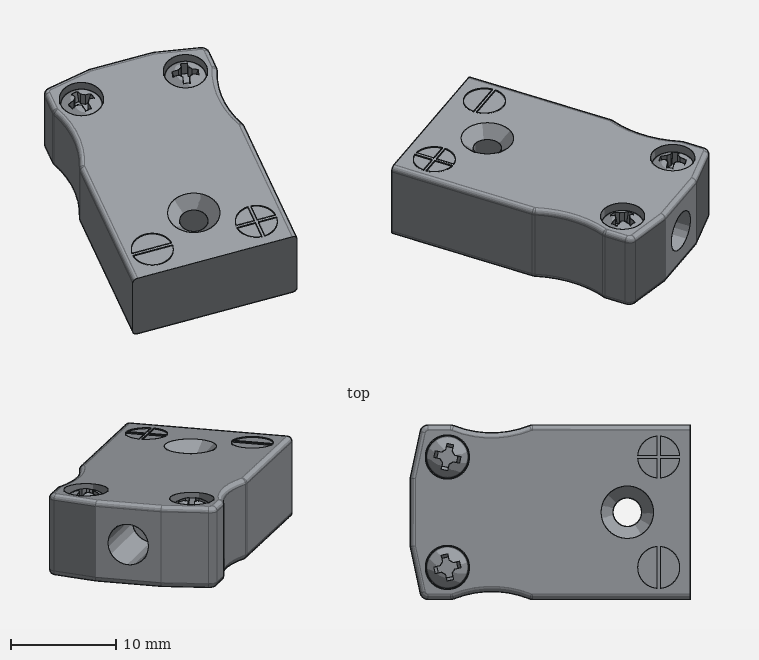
import cadquery as cq
import math

length = 26.65
width = 16.6
height = 8.02
nose_half_width = 3.25
nose_angle = 12.0
corner_radius = 0.8
edge_round = 0.5

grip_x = 7.75
grip_radius = 9.73
grip_depth = 0.75
grip_blend_radius = 0.8

bore_diameter = 4.0
bore_depth = 8.0

mount_x = 20.65
mount_diameter = 2.7
countersink_diameter = 4.98
countersink_angle = 90.0

pair_y = 5.25
screw_x = 3.55
mark_x = 23.65

screw_seat_diameter = 4.2
screw_seat_depth = 2.13
head_diameter = 4.0
head_rim_height = 1.3
dome_height = 0.83
head_edge_round = 0.2

recess_depth = 1.47
recess_top_reach = 1.33
recess_floor_reach = 0.95
recess_arm_width = 0.65
recess_core_width = 1.35
recess_turn = 13.0

mark_diameter = 4.0
mark_depth = 0.1
mark_bar_width = 0.3

half_width = width / 2


def make_blank():
    """Solid outline with finger grips, rounded corners and rounded rims."""
    nose_setback = (half_width - nose_half_width) * math.tan(math.radians(nose_angle))
    blank = (
        cq.Workplane("XY")
        .polyline([
            (0, -nose_half_width),
            (nose_setback, -half_width),
            (length, -half_width),
            (length, half_width),
            (nose_setback, half_width),
            (0, nose_half_width),
        ])
        .close()
        .extrude(height)
    )

    grip_offset = half_width - grip_depth + grip_radius
    grips = (
        cq.Workplane("XY")
        .pushPoints([(grip_x, -grip_offset), (grip_x, grip_offset)])
        .circle(grip_radius)
        .extrude(height)
    )
    blank = blank.cut(grips)

    grip_half_length = math.sqrt(2 * grip_radius * grip_depth - grip_depth**2)
    blank = blank.edges(edges_at(nose_setback)).fillet(corner_radius)
    for end_x in (grip_x - grip_half_length, grip_x + grip_half_length):
        blank = blank.edges(edges_at(end_x)).fillet(grip_blend_radius)

    rims = blank.faces("<Z or >Z").edges("not >X")
    return rims.fillet(edge_round)


def edges_at(x):
    """Selector for the upright edges of both long sides at one X position."""
    margin = 0.03
    return cq.selectors.BoxSelector(
        (x - margin, -half_width - margin, 0),
        (x + margin, half_width + margin, height),
    )


def make_mark_pocket(y, bar_angles):
    """Round pocket with one flush bar across it for each angle."""
    pocket = cq.Workplane("XY").circle(mark_diameter / 2).extrude(-mark_depth)
    for angle in bar_angles:
        bar = (
            cq.Workplane("XY")
            .rect(mark_diameter, mark_bar_width)
            .extrude(-mark_depth)
            .rotate((0, 0, 0), (0, 0, 1), angle)
        )
        pocket = pocket.cut(bar)
    return pocket.translate((mark_x, y, height))


def make_housing():
    housing = make_blank()

    bore = (
        cq.Workplane("YZ")
        .center(0, height / 2)
        .circle(bore_diameter / 2)
        .extrude(bore_depth)
    )
    housing = housing.cut(bore)

    top = cq.Workplane("XY", origin=(0, 0, height))
    mount_hole = (
        top.center(mount_x, 0)
        .circle(mount_diameter / 2)
        .extrude(-height)
    )
    countersink_depth = (
        (countersink_diameter - mount_diameter) / 2
        / math.tan(math.radians(countersink_angle / 2))
    )
    countersink = cq.Workplane(cq.Solid.makeCone(
        mount_diameter / 2,
        countersink_diameter / 2,
        countersink_depth,
        pnt=cq.Vector(mount_x, 0, height - countersink_depth),
    ))
    housing = housing.cut(mount_hole).cut(countersink)

    screw_seats = (
        top.pushPoints([(screw_x, -pair_y), (screw_x, pair_y)])
        .circle(screw_seat_diameter / 2)
        .extrude(-screw_seat_depth)
    )
    housing = housing.cut(screw_seats)

    plus_mark = make_mark_pocket(pair_y, (0, 90))
    minus_mark = make_mark_pocket(-pair_y, (90,))
    return housing.cut(plus_mark).cut(minus_mark)


def make_cross_recess():
    """Cross-shaped cutter with sloped arm tips and bevelled inner corners; its top is at Z = 0."""
    arm = (
        cq.Workplane("XZ")
        .polyline([
            (-recess_top_reach, 0),
            (-recess_floor_reach, -recess_depth),
            (recess_floor_reach, -recess_depth),
            (recess_top_reach, 0),
        ])
        .close()
        .extrude(recess_arm_width / 2, both=True)
    )
    core = (
        cq.Workplane("XY")
        .rect(recess_core_width, recess_core_width)
        .extrude(-recess_depth)
        .rotate((0, 0, 0), (0, 0, 1), 45)
    )
    crossing_arm = arm.rotate((0, 0, 0), (0, 0, 1), 90)
    return arm.union(crossing_arm).union(core)


def make_screw(y, turn):
    """Domed screw head standing on the floor of its seat."""
    head_radius = head_diameter / 2
    head_height = head_rim_height + dome_height
    dome_radius = (head_radius**2 + dome_height**2) / (2 * dome_height)
    mid_x = head_radius / 2
    mid_z = head_height - dome_radius + math.sqrt(dome_radius**2 - mid_x**2)
    head = (
        cq.Workplane("XZ")
        .lineTo(head_radius, 0)
        .lineTo(head_radius, head_rim_height)
        .threePointArc((mid_x, mid_z), (0, head_height))
        .close()
        .revolve(360, (0, 0, 0), (0, 1, 0))
    )
    rim_circles = head.edges(cq.selectors.RadiusNthSelector(0))
    head = rim_circles.edges(">Z").fillet(head_edge_round)
    recess = (
        make_cross_recess()
        .rotate((0, 0, 0), (0, 0, 1), turn)
        .translate((0, 0, head_height))
    )
    return head.cut(recess).translate((screw_x, y, height - screw_seat_depth))


housing = make_housing()
screws = [make_screw(side * pair_y, -side * recess_turn) for side in (-1, 1)]

result = cq.Compound.makeCompound([housing.val(), *[screw.val() for screw in screws]])